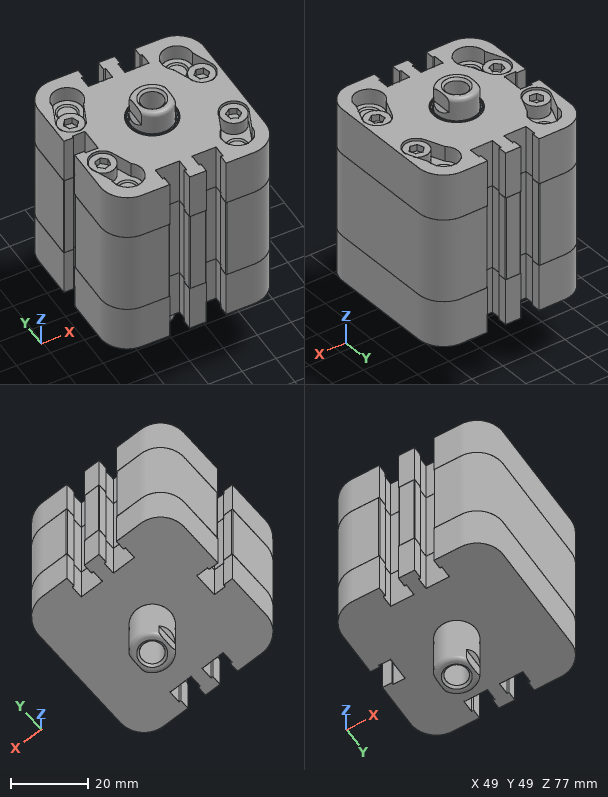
import cadquery as cq
import math

block_side = 49.0
corner_radius = 8.0
barrel_height = 25.7
cap_height = 14.2
block_height = barrel_height + 2 * cap_height

slot_spacing = 10.8
mouth_width = 5.85
mouth_depth = 2.9
channel_width = 7.1
slot_depth = 6.55
mouth_chamfer = 0.2

rod_diameter = 12.0
rod_length = 77.0
rod_lower_end = 16.5
rod_end_round = 1.2
flat_width = 10.0
flat_length = 4.4
thread_diameter = 6.6
thread_mouth_diameter = 8.0
thread_depth = 15.4

recess_diameter = 14.0
recess_chamfer = 0.15
recess_depth = 2.0
ring_outer_diameter = 13.7
ring_inner_diameter = 12.55
ring_drop = 0.15
ring_chamfer = 0.2

seat_offset = 16.2
screw_x = 19.3
screw_y = 8.55
pocket_depth = 4.6
seat_pocket_diameter = 9.0
screw_pocket_diameter = 8.0
seat_floor_diameter = 5.2
seat_mouth_diameter = 6.15
head_diameter = 7.5
head_drop = 0.6
socket_corner_diameter = 4.15
socket_depth = 2.0

screw_corners = [(1, 1, -12), (-1, 1, -8), (-1, -1, 20), (1, -1, -24)]

barrel_bottom = cap_height
barrel_top = cap_height + barrel_height
rod_bottom = -rod_lower_end
rod_top = rod_bottom + rod_length


def cylinder(diameter, height, x=0.0, y=0.0, z=0.0):
    return cq.Workplane("XY", origin=(x, y, z)).circle(diameter / 2).extrude(height)


def countersink(mouth_diameter, hole_diameter, z):
    """Cone that narrows downward at 45 degrees from a hole mouth at height z."""
    depth = (mouth_diameter - hole_diameter) / 2
    return cq.Workplane("XY").add(
        cq.Solid.makeCone(
            mouth_diameter / 2, hole_diameter / 2, depth, pnt=cq.Vector(0, 0, z), dir=cq.Vector(0, 0, -1)
        )
    )


def slot_cutter(bottom, height, chamfer):
    """One slot, open toward +Y and centred on X = 0."""
    face = block_side / 2
    mouth = mouth_width / 2
    channel = channel_width / 2
    half_profile = [
        (mouth + chamfer, face),
        (mouth, face - chamfer),
        (mouth, face - mouth_depth),
        (channel, face - mouth_depth),
        (channel, face - slot_depth),
    ]
    if not chamfer:
        half_profile.pop(0)
    other_half = [(-x, y) for x, y in reversed(half_profile)]
    return (
        cq.Workplane("XY", origin=(0, 0, bottom)).polyline(half_profile + other_half).close().extrude(height)
    )


def slotted_block(bottom, height, chamfer=0.0):
    block = (
        cq.Workplane("XY", origin=(0, 0, bottom))
        .rect(block_side, block_side)
        .extrude(height)
        .edges("|Z")
        .fillet(corner_radius)
    )
    cutter = slot_cutter(bottom, height, chamfer)
    for side_angle in (0, 180):
        for shift in (-slot_spacing / 2, slot_spacing / 2):
            block = block.cut(cutter.translate((shift, 0, 0)).rotate((0, 0, 0), (0, 0, 1), side_angle))
    return block.cut(cutter.rotate((0, 0, 0), (0, 0, 1), 90))


def rod_bore(bottom, height):
    return cylinder(rod_diameter, height, z=bottom)


def screw_head(turn):
    """Screw head standing on the pocket floor, its hexagon socket turned about Z."""
    head_height = pocket_depth - head_drop
    head = cylinder(head_diameter, head_height, screw_x, screw_y, block_height - pocket_depth)
    socket = (
        cq.Workplane("XY", origin=(screw_x, screw_y, block_height - head_drop))
        .transformed(rotate=(0, 0, turn))
        .polygon(6, socket_corner_diameter)
        .extrude(-socket_depth)
    )
    return head.cut(socket)


def corner_pocket(turn):
    """Cutter for the +X +Y pocket and its shallow tapered seat, leaving the screw head standing."""
    floor = block_height - pocket_depth
    run_x = seat_offset - screw_x
    run_y = seat_offset - screw_y
    run = math.hypot(run_x, run_y)
    channel = (
        cq.Workplane("XY", origin=(screw_x, screw_y, floor))
        .transformed(rotate=(0, 0, math.degrees(math.atan2(run_y, run_x))))
        .center(run / 2, 0)
        .rect(run, screw_pocket_diameter)
        .extrude(pocket_depth)
    )
    seat = countersink(seat_mouth_diameter, seat_floor_diameter, floor)
    return (
        cylinder(screw_pocket_diameter, pocket_depth, screw_x, screw_y, floor)
        .union(cylinder(seat_pocket_diameter, pocket_depth, seat_offset, seat_offset, floor))
        .union(channel)
        .cut(screw_head(turn))
        .union(seat.translate((seat_offset, seat_offset, 0)))
    )


def make_upper_cap():
    cap = slotted_block(barrel_top, cap_height).cut(rod_bore(barrel_top, cap_height))
    cap = cap.cut(cylinder(recess_diameter, -recess_depth, z=block_height))
    cap = cap.cut(countersink(recess_diameter + 2 * recess_chamfer, recess_diameter, block_height))
    for x_side, y_side, turn in screw_corners:
        pocket = corner_pocket(turn * x_side * y_side)
        if x_side < 0:
            pocket = pocket.mirror("YZ")
        if y_side < 0:
            pocket = pocket.mirror("XZ")
        cap = cap.cut(pocket)
    return cap


def make_barrel():
    return slotted_block(barrel_bottom, barrel_height, mouth_chamfer).cut(
        rod_bore(barrel_bottom, barrel_height)
    )


def make_lower_cap():
    return slotted_block(0, cap_height).cut(rod_bore(0, cap_height))


def make_wiper_ring():
    height = recess_depth - ring_drop
    bottom = block_height - recess_depth
    body = cylinder(ring_outer_diameter, height, z=bottom).faces(">Z").edges().chamfer(ring_chamfer)
    return body.cut(cylinder(ring_inner_diameter, height, z=bottom))


def wrench_flat():
    """Cutter for the +X flat at the upper rod end, its lower end sloping out at 45 degrees."""
    flat = flat_width / 2
    outside = rod_diameter / 2
    profile = [
        (flat, rod_top),
        (flat, rod_top - flat_length),
        (outside, rod_top - flat_length - (outside - flat)),
        (outside, rod_top),
    ]
    return cq.Workplane("XZ").polyline(profile).close().extrude(outside, both=True)


def make_rod():
    rod = cylinder(rod_diameter, rod_length, z=rod_bottom).edges().fillet(rod_end_round)
    thread = cylinder(thread_diameter, -thread_depth, z=rod_top)
    thread = thread.union(countersink(thread_mouth_diameter, thread_diameter, rod_top))
    end_cutters = [thread, wrench_flat(), wrench_flat().mirror("YZ")]
    middle = (0, 0, (rod_top + rod_bottom) / 2)
    for cutter in end_cutters:
        rod = rod.cut(cutter)
        rod = rod.cut(cutter.mirror("XY", middle))
    return rod


upper_cap = make_upper_cap()
barrel = make_barrel()
lower_cap = make_lower_cap()
wiper_ring = make_wiper_ring()
rod = make_rod()

result = cq.Compound.makeCompound(
    [upper_cap.val(), barrel.val(), lower_cap.val(), wiper_ring.val(), rod.val()]
)